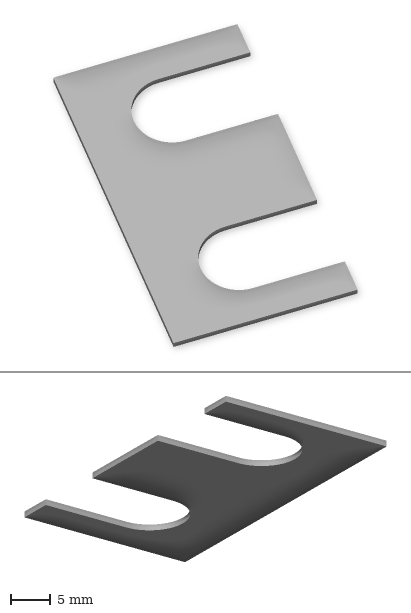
import cadquery as cq

plate_length = 45.0
plate_width = 25.0
plate_thickness = 0.81

slot_width = 10.4
slot_spacing = 25.0
slot_depth_to_arc_center = plate_width / 2


def make_plate():
    return cq.Workplane("XY").box(plate_length, plate_width, plate_thickness)


def make_slot(center_x):
    """Cutter running from the +Y edge down to a full-radius end."""
    radius = slot_width / 2
    edge_y = plate_width / 2
    arc_center_y = edge_y - slot_depth_to_arc_center
    return (
        cq.Workplane("XY")
        .workplane(offset=-plate_thickness / 2)
        .moveTo(center_x - radius, edge_y)
        .lineTo(center_x - radius, arc_center_y)
        .threePointArc((center_x, arc_center_y - radius), (center_x + radius, arc_center_y))
        .lineTo(center_x + radius, edge_y)
        .close()
        .extrude(plate_thickness)
    )


result = make_plate()
for side in (-1, 1):
    result = result.cut(make_slot(side * slot_spacing / 2))